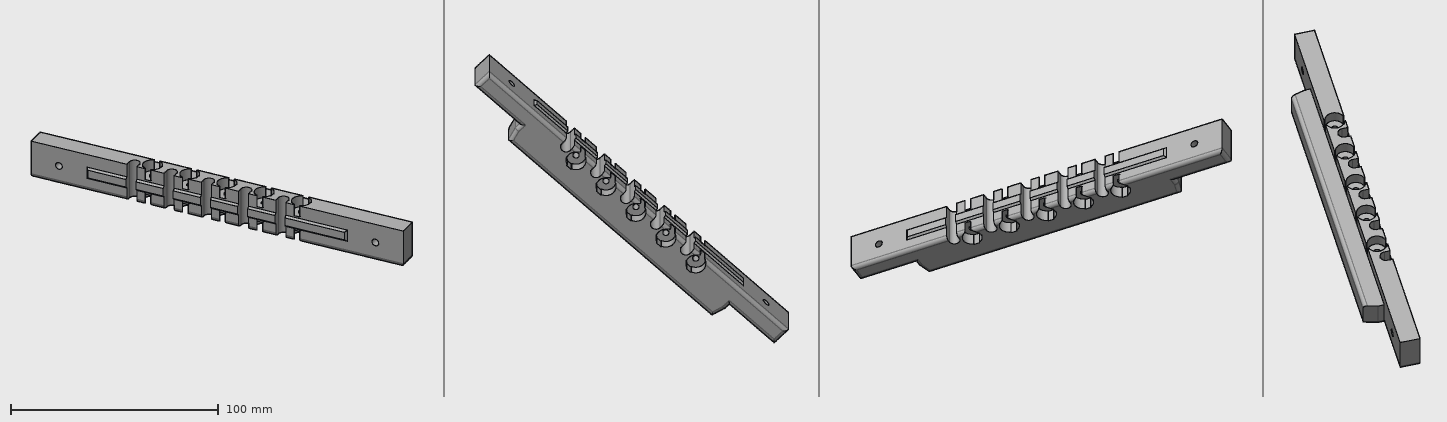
import cadquery as cq

BAR_LENGTH = 200.0
BAR_WIDTH = 10.0
BAR_HEIGHT = 20.0
FRONT_Y = -BAR_WIDTH / 2
REAR_Y = BAR_WIDTH / 2
MID_Z = BAR_HEIGHT / 2

LEDGE_LENGTH = 140.0
LEDGE_HEIGHT = 13.5
LEDGE_DEPTH = 10.0
LEDGE_STRAIGHT_DEPTH = 3.0
LEDGE_END_INSET = 2.0

EDGE_RADIUS = 2.0

KEY_LENGTH = LEDGE_LENGTH
KEY_HEIGHT = 6.2
KEY_DEPTH = 1.0
KEY_BEVEL_ANGLE = 45.0

STATION_COUNT = 5
STATION_PITCH = 20.0
FIRST_POCKET_X = -37.2
POCKET_DEPTH = 6.0
POCKET_OPENING = 3.0
POCKET_DIAMETER = 9.5
PIN_HOLE_DIAMETER = 3.0
GROOVE_OFFSET = 8.5
GROOVE_WIDTH = 5.5
GROOVE_DEPTH = 5.5

MOUNT_HOLE_DIAMETER = 3.5
MOUNT_HOLE_X = 85.0


def make_bar():
    """Plain bar with square edges."""
    return cq.Workplane("XY").box(BAR_LENGTH, BAR_WIDTH, BAR_HEIGHT, centered=(True, True, False))


def make_ledge():
    """Rear ledge: straight at its root, then tapering towards the back."""
    half_length = LEDGE_LENGTH / 2
    rear_half_length = half_length - LEDGE_END_INSET
    taper_y = REAR_Y + LEDGE_STRAIGHT_DEPTH
    back_y = REAR_Y + LEDGE_DEPTH
    outline = [
        (-half_length, REAR_Y),
        (half_length, REAR_Y),
        (half_length, taper_y),
        (rear_half_length, back_y),
        (-rear_half_length, back_y),
        (-half_length, taper_y),
    ]
    return cq.Workplane("XY").polyline(outline).close().extrude(LEDGE_HEIGHT)


def make_body():
    """Bar and ledge with rounded bottom edges and a rounded ledge top."""
    body = make_bar().union(make_ledge())
    body = body.faces("<Z").edges().fillet(EDGE_RADIUS)
    return body.faces(">Y").edges(">Z").fillet(EDGE_RADIUS)


def make_key():
    """Front key, bevelled on all four sides."""
    return (
        cq.Workplane("XZ", origin=(0, FRONT_Y, MID_Z))
        .rect(KEY_LENGTH, KEY_HEIGHT)
        .extrude(KEY_DEPTH, taper=KEY_BEVEL_ANGLE)
    )


def make_cylinder(x, radius, bottom_z, height):
    """Vertical cylinder on the centre plane of the bar."""
    return cq.Workplane("XY", origin=(x, 0, bottom_z)).circle(radius).extrude(height)


def make_pocket(x, bottom_z):
    """Round pocket with a narrow slot opening it to the front and rear of the bar."""
    slot = cq.Workplane("XY", origin=(x, 0, bottom_z)).box(
        POCKET_OPENING, BAR_WIDTH, POCKET_DEPTH, centered=(True, True, False)
    )
    return make_cylinder(x, POCKET_DIAMETER / 2, bottom_z, POCKET_DEPTH).union(slot)


def make_groove(x):
    """Full-height groove, open at the front, with a round inner end."""
    radius = GROOVE_WIDTH / 2
    mouth_y = FRONT_Y - KEY_DEPTH
    end_y = FRONT_Y + GROOVE_DEPTH
    arc_start_y = end_y - radius
    return (
        cq.Workplane("XY")
        .moveTo(x - radius, mouth_y)
        .lineTo(x + radius, mouth_y)
        .lineTo(x + radius, arc_start_y)
        .threePointArc((x, end_y), (x - radius, arc_start_y))
        .close()
        .extrude(BAR_HEIGHT)
    )


def make_mount_holes():
    """Pair of holes through the bar from front to rear."""
    return (
        cq.Workplane("XZ", origin=(0, REAR_Y, MID_Z))
        .pushPoints([(-MOUNT_HOLE_X, 0), (MOUNT_HOLE_X, 0)])
        .circle(MOUNT_HOLE_DIAMETER / 2)
        .extrude(BAR_WIDTH)
    )


result = make_body().union(make_key())

for station in range(STATION_COUNT):
    pocket_x = FIRST_POCKET_X + station * STATION_PITCH
    for pocket_z in (0, BAR_HEIGHT - POCKET_DEPTH):
        result = result.cut(make_pocket(pocket_x, pocket_z))
    result = result.cut(make_cylinder(pocket_x, PIN_HOLE_DIAMETER / 2, 0, BAR_HEIGHT))
    result = result.cut(make_groove(pocket_x - GROOVE_OFFSET))

result = result.cut(make_mount_holes())